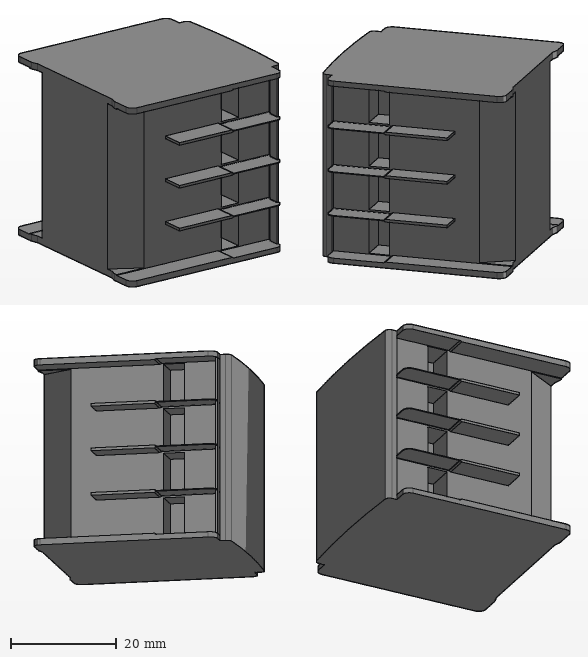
import cadquery as cq
import math

WIDTH = 37.5
DEPTH = 38.1
HEIGHT = 36.0
FRONT_Y = -DEPTH / 2
REAR_Y = DEPTH / 2
SIDE_X = WIDTH / 2
TOP_Z = HEIGHT / 2

CORNER_RADIUS = 1.5
SHOULDER_DEPTH = 2.6
SHOULDER_Y = REAR_Y - SHOULDER_DEPTH
REAR_HALF_WIDTH = 15.0
REAR_CROWN_RADIUS = 190.5
REAR_EDGE_RADIUS = 1.0
FRONT_RECESS_DEPTH = 0.42
FRONT_RECESS_HALF_WIDTH = 12.05
FRONT_RAMP_END_X = 13.45
FRONT_FACE_Y = FRONT_Y + FRONT_RECESS_DEPTH

CORE_HALF_WIDTH = 14.15
CHAMFER_START_Y = -12.6
CHAMFER_END_X = 10.6
LEDGE_THICKNESS = 1.37

PLATE_THICKNESS = 1.22
FIN_THICKNESS = 0.55
THINNING = 0.2
RAMP_FRONT_Y = 4.57
RAMP_REAR_Y = 4.95
FIN_FRONT_Y = -7.7
FIN_PITCH = 8.6
FIN_COUNT = 3

POCKET_FRONT_Y = 5.35
POCKET_REAR_Y = 9.37
POCKET_HEIGHT = 7.77
POCKET_DEPTH = 5.7
POCKET_COUNT = FIN_COUNT + 1

PANEL_THICKNESS = 0.4
PANEL_HALF_HEIGHT = TOP_Z - PLATE_THICKNESS + THINNING


def centred_levels(count, pitch):
    """Heights of evenly spaced features, symmetric about mid-height."""
    return [(i - (count - 1) / 2) * pitch for i in range(count)]


def box_between(x_range, y_range, z_range):
    """Box spanning the given (low, high) range along each axis."""
    size = [high - low for low, high in (x_range, y_range, z_range)]
    corner = cq.Vector(x_range[0], y_range[0], z_range[0])
    return cq.Workplane("XY").add(cq.Solid.makeBox(*size, corner))


def outline_prism():
    """Full-height prism of the plan outline, with its round corners."""
    crown_drop = REAR_CROWN_RADIUS - math.sqrt(REAR_CROWN_RADIUS**2 - REAR_HALF_WIDTH**2)
    rear_edge_y = REAR_Y - crown_drop
    prism = (
        cq.Workplane("XY", origin=(0, 0, -TOP_Z))
        .moveTo(-FRONT_RECESS_HALF_WIDTH, FRONT_FACE_Y)
        .lineTo(FRONT_RECESS_HALF_WIDTH, FRONT_FACE_Y)
        .lineTo(FRONT_RAMP_END_X, FRONT_Y)
        .lineTo(SIDE_X, FRONT_Y)
        .lineTo(SIDE_X, SHOULDER_Y)
        .lineTo(REAR_HALF_WIDTH, SHOULDER_Y)
        .lineTo(REAR_HALF_WIDTH, rear_edge_y)
        .threePointArc((0, REAR_Y), (-REAR_HALF_WIDTH, rear_edge_y))
        .lineTo(-REAR_HALF_WIDTH, SHOULDER_Y)
        .lineTo(-SIDE_X, SHOULDER_Y)
        .lineTo(-SIDE_X, FRONT_Y)
        .lineTo(-FRONT_RAMP_END_X, FRONT_Y)
        .close()
        .extrude(HEIGHT)
    )
    prism = prism.edges("|Z").edges(">Y").fillet(REAR_EDGE_RADIUS)
    return prism.edges("|Z").edges("<X or >X").fillet(CORNER_RADIUS)


def core_blank():
    """Envelope of the core, its bevelled front corners and the wider rear lip."""
    z_range = (-TOP_Z, TOP_Z)
    core = box_between((-CORE_HALF_WIDTH, CORE_HALF_WIDTH), (FRONT_Y, SHOULDER_Y), z_range)
    lip = box_between((-REAR_HALF_WIDTH, REAR_HALF_WIDTH), (SHOULDER_Y, REAR_Y), z_range)
    bevel_half_height = TOP_Z - LEDGE_THICKNESS
    for side in (-1, 1):
        bevel = (
            cq.Workplane("XY", origin=(0, 0, -bevel_half_height))
            .moveTo(side * CORE_HALF_WIDTH, CHAMFER_START_Y)
            .lineTo(side * CHAMFER_END_X, FRONT_FACE_Y)
            .lineTo(side * CHAMFER_END_X, FRONT_Y)
            .lineTo(side * CORE_HALF_WIDTH, FRONT_Y)
            .close()
            .extrude(2 * bevel_half_height)
        )
        core = core.cut(bevel)
    return core.union(lip)


def ramped_slab(front_y, rear_y, low_z, high_z, low_thinning, high_thinning):
    """Slab across the full width whose faces step in over the ramp by the given amounts."""
    return (
        cq.Workplane("YZ", origin=(-SIDE_X, 0, 0))
        .moveTo(front_y, low_z)
        .lineTo(RAMP_FRONT_Y, low_z)
        .lineTo(RAMP_REAR_Y, low_z + low_thinning)
        .lineTo(rear_y, low_z + low_thinning)
        .lineTo(rear_y, high_z - high_thinning)
        .lineTo(RAMP_REAR_Y, high_z - high_thinning)
        .lineTo(RAMP_FRONT_Y, high_z)
        .lineTo(front_y, high_z)
        .close()
        .extrude(WIDTH)
    )


def end_plate_blanks():
    """Bottom and top plates, each ramped on its inner face only."""
    bottom = ramped_slab(FRONT_Y, REAR_Y, -TOP_Z, PLATE_THICKNESS - TOP_Z, 0, THINNING)
    top = ramped_slab(FRONT_Y, REAR_Y, TOP_Z - PLATE_THICKNESS, TOP_Z, THINNING, 0)
    return [bottom, top]


def fin_blanks():
    """Barrier fins, ramped on both faces."""
    half = FIN_THICKNESS / 2
    return [
        ramped_slab(FIN_FRONT_Y, SHOULDER_Y, z - half, z + half, THINNING, THINNING)
        for z in centred_levels(FIN_COUNT, FIN_PITCH)
    ]


def terminal_pockets():
    """Blind rectangular pockets entering from both sides of the core."""
    inner_x = CORE_HALF_WIDTH - POCKET_DEPTH
    pockets = []
    for z in centred_levels(POCKET_COUNT, FIN_PITCH):
        z_range = (z - POCKET_HEIGHT / 2, z + POCKET_HEIGHT / 2)
        for x_range in ((-CORE_HALF_WIDTH, -inner_x), (inner_x, CORE_HALF_WIDTH)):
            pockets.append(box_between(x_range, (POCKET_FRONT_Y, POCKET_REAR_Y), z_range))
    return pockets


def make_side_panel():
    """Thin upright strip between the plates, flush with the +X rear shoulder."""
    return box_between(
        (REAR_HALF_WIDTH, SIDE_X - CORNER_RADIUS),
        (SHOULDER_Y - PANEL_THICKNESS, SHOULDER_Y),
        (-PANEL_HALF_HEIGHT, PANEL_HALF_HEIGHT),
    )


def make_housing(panel):
    """Core, end plates and fins in one piece, with the fins notched for the side panel."""
    body = core_blank()
    for blank in end_plate_blanks() + fin_blanks():
        body = body.union(blank)
    body = body.intersect(outline_prism())
    for pocket in terminal_pockets():
        body = body.cut(pocket)
    return body.cut(panel)


side_panel = make_side_panel()
housing = make_housing(side_panel)
result = cq.Compound.makeCompound([housing.solids().val(), side_panel.val()])